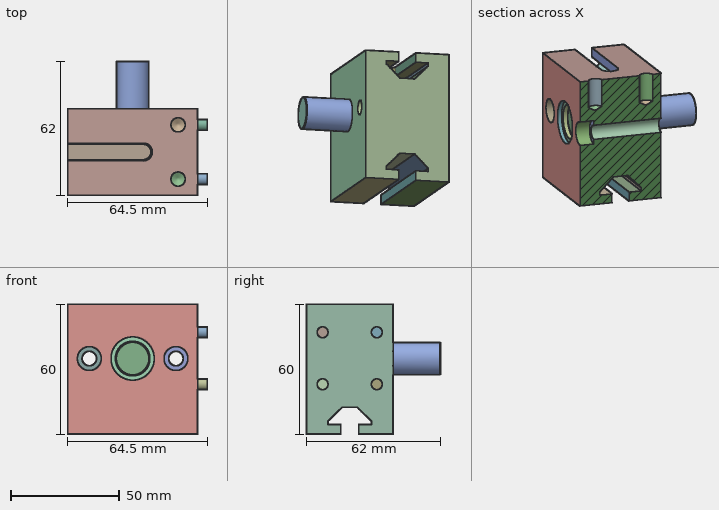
import cadquery as cq
import math

block_length = 60.0
block_depth = 40.0
block_height = 60.0
mid_y = block_depth / 2

stud_x = block_length / 2
stud_z = 34.9
stud_diameter = 15.0
stud_reach = 22.0
stud_chamfer = 0.3
head_diameter = 16.0
head_chamfer = (head_diameter - stud_diameter) / 2
head_sink = 4.0
recess_diameter = 20.0
recess_depth = 2.0

mount_spacing = 40.0
mount_hole_diameter = 6.6
mount_bore_diameter = 11.0
mount_bore_depth = 6.8

neck_width = 8.2
neck_depth = 4.45
slot_width = 20.0
slot_side_height = 1.5
floor_width = 7.0
floor_depth = 12.3
top_slot_end_x = 34.95

row_spacing = 25.0
row_positions = [mid_y - row_spacing / 2, mid_y + row_spacing / 2]

top_hole_x = 50.95
top_hole_diameter = 6.6
top_hole_depth = 12.9
drill_point_angle = 118.0

pin_diameter = 5.0
pin_reach = 4.5
pin_mid_z = 35.0
pin_spacing_z = 24.0


def cylinder_y(diameter, x, z, y_start, y_end):
    """Cylinder along Y from y_start to y_end."""
    circle = cq.Workplane("XZ", origin=(x, y_start, z)).circle(diameter / 2)
    return circle.extrude(y_start - y_end)


def revolve_about_z(outline):
    """Turn a closed half outline around its own vertical axis."""
    return outline.revolve(360, (0, 0), (0, 1))


def half_slot_outline(workplane):
    """Half of the T-slot section, drawn from the slot axis at the block surface."""
    return workplane.polyline([
        (0, 0),
        (neck_width / 2, 0),
        (neck_width / 2, -neck_depth),
        (slot_width / 2, -neck_depth),
        (slot_width / 2, -neck_depth - slot_side_height),
        (floor_width / 2, -floor_depth),
        (0, -floor_depth),
    ]).close()


def straight_slot(length):
    """T-slot in the top face, running from the -X face."""
    half = half_slot_outline(cq.Workplane("YZ")).extrude(length)
    whole = half.union(half.mirror("XZ"))
    return whole.translate((0, mid_y, block_height))


def top_slot():
    """T-slot closed by a round end of the same section."""
    round_end = revolve_about_z(half_slot_outline(cq.Workplane("XZ")))
    round_end = round_end.translate((top_slot_end_x, mid_y, block_height))
    return straight_slot(top_slot_end_x).union(round_end)


def bottom_slot():
    """T-slot through the whole length of the bottom face."""
    return straight_slot(block_length).mirror("XY", (0, 0, block_height / 2))


def mount_hole(x):
    """Through hole along Y, counterbored from the front."""
    hole = cylinder_y(mount_hole_diameter, x, stud_z, 0, block_depth)
    bore = cylinder_y(mount_bore_diameter, x, stud_z, 0, mount_bore_depth)
    return hole.union(bore)


def stud_recess():
    """Stepped opening in the front face that leaves the stud head visible."""
    outer = cylinder_y(recess_diameter, stud_x, stud_z, 0, recess_depth)
    inner = cylinder_y(head_diameter, stud_x, stud_z, 0, head_sink + head_chamfer)
    return outer.union(inner)


def stud():
    """Stud through the block, chamfered at both ends."""
    head = cylinder_y(head_diameter, stud_x, stud_z, head_sink, mid_y)
    head = head.faces("<Y").chamfer(head_chamfer)
    shank = cylinder_y(stud_diameter, stud_x, stud_z, mid_y, block_depth + stud_reach)
    shank = shank.faces(">Y").chamfer(stud_chamfer)
    return head.union(shank)


def top_hole(y):
    """Blind hole with a conical drill point."""
    radius = top_hole_diameter / 2
    point_depth = radius / math.tan(math.radians(drill_point_angle / 2))
    outline = cq.Workplane("XZ").polyline([
        (0, 0),
        (radius, 0),
        (radius, -top_hole_depth),
        (0, -top_hole_depth - point_depth),
    ]).close()
    return revolve_about_z(outline).translate((top_hole_x, y, block_height))


def pin(y, z):
    """Round pin standing out of the +X face."""
    circle = cq.Workplane("YZ", origin=(block_length, y, z)).circle(pin_diameter / 2)
    return circle.extrude(pin_reach)


body = cq.Workplane("XY").box(block_length, block_depth, block_height, centered=False)
body = body.cut(top_slot())
body = body.cut(bottom_slot())
body = body.cut(stud_recess())
body = body.union(stud())

for side in (-1, 1):
    body = body.cut(mount_hole(stud_x + side * mount_spacing / 2))

for row_y in row_positions:
    body = body.cut(top_hole(row_y))
    for side in (-1, 1):
        body = body.union(pin(row_y, pin_mid_z + side * pin_spacing_z / 2))

result = body